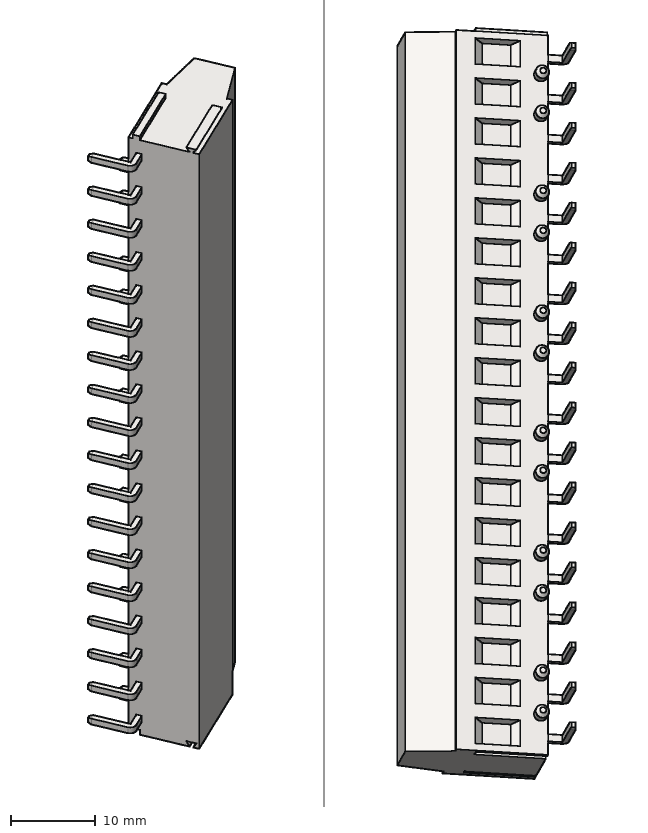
import cadquery as cq

pole_count = 18
pole_pitch = 5.0
housing_height = pole_count * pole_pitch
total_height = 90.6
housing_width = 9.0
housing_depth = 16.8
shoulder_y = 11.05
ridge_base_left = 0.6
ridge_base_right = 8.2
ridge_top_left = 1.9
ridge_top_right = 7.1

rib_height = total_height - housing_height
rib_length = 8.6
slot_depth = 0.7
square_rib_left = 0.5
square_rib_width = 0.9
dovetail_center = 8.0
dovetail_wide = 1.3
dovetail_narrow = 0.45

funnel_y_low = 3.35
funnel_y_high = 8.8
funnel_height = 3.3
funnel_depth = 0.9
funnel_inset_y = 1.0
funnel_inset_z = 0.32

pin_width = 0.9
pin_thickness = 0.7
pin_reach = 4.2
pin_drop = 2.6
pin_outer_x = 1.7
pin_bend_radius = 0.8
pin_root = 0.45
pin_tip_length = 0.45
pin_tip_inset = 0.14

poles_per_group = 3
peg_radius = 0.8
peg_length = 1.6
peg_center_y = 0.9
peg_chamfer = 0.45
peg_root = 0.45


def pole_z(index):
    """Height of the centre of a pole."""
    return (index + 0.5) * pole_pitch


def make_housing():
    outline = [
        (0, 0),
        (housing_width, 0),
        (housing_width, shoulder_y),
        (ridge_base_right, shoulder_y),
        (ridge_top_right, housing_depth),
        (ridge_top_left, housing_depth),
        (ridge_base_left, shoulder_y),
        (0, shoulder_y),
    ]
    return cq.Workplane("XY").polyline(outline).close().extrude(housing_height)


def make_interlocks(base_z, height):
    """Square rib and dovetail rib running along Y, standing on base_z."""
    square = cq.Workplane("XY").box(square_rib_width, rib_length, height, centered=False)
    square = square.translate((square_rib_left, 0, base_z))
    section = [
        (dovetail_center - dovetail_narrow / 2, base_z),
        (dovetail_center + dovetail_narrow / 2, base_z),
        (dovetail_center + dovetail_wide / 2, base_z + height),
        (dovetail_center - dovetail_wide / 2, base_z + height),
    ]
    dovetail = cq.Workplane("XZ").polyline(section).close().extrude(-rib_length)
    return square.union(dovetail)


def make_funnel():
    """Tapered wire entry centred on Z = 0, narrowing towards +X."""
    mouth_length = funnel_y_high - funnel_y_low
    center_y = (funnel_y_low + funnel_y_high) / 2
    return (
        cq.Workplane("YZ")
        .center(center_y, 0)
        .rect(mouth_length, funnel_height)
        .workplane(offset=funnel_depth)
        .rect(mouth_length - 2 * funnel_inset_y, funnel_height - 2 * funnel_inset_z)
        .loft(ruled=True)
    )


def make_pin():
    """L-shaped flat pin centred on Z = 0 with a tapered tip pointing to -X."""
    shank_start = pin_tip_length - pin_reach
    leg_x = pin_outer_x - pin_thickness
    outline = [
        (shank_start, -pin_drop),
        (pin_outer_x, -pin_drop),
        (pin_outer_x, pin_root),
        (leg_x, pin_root),
        (leg_x, pin_thickness - pin_drop),
        (shank_start, pin_thickness - pin_drop),
    ]
    body = cq.Workplane("XY").polyline(outline).close().extrude(pin_width / 2, both=True)
    outer_corner = cq.selectors.NearestToPointSelector((pin_outer_x, -pin_drop, 0))
    body = body.edges("|Z").edges(outer_corner).fillet(pin_bend_radius)
    tip = (
        cq.Workplane("YZ", origin=(shank_start, pin_thickness / 2 - pin_drop, 0))
        .rect(pin_thickness, pin_width)
        .workplane(offset=-pin_tip_length)
        .rect(pin_thickness - 2 * pin_tip_inset, pin_width - 2 * pin_tip_inset)
        .loft(ruled=True)
    )
    return body.union(tip)


def make_peg():
    """Round peg centred on Z = 0, pointing to -X with a chamfered end."""
    peg = cq.Workplane("YZ", origin=(peg_root, peg_center_y, 0)).circle(peg_radius)
    return peg.extrude(-peg_root - peg_length).faces("<X").chamfer(peg_chamfer)


result = make_housing()
result = result.union(make_interlocks(housing_height, rib_height))
result = result.cut(make_interlocks(0, slot_depth))

funnel = make_funnel()
pin = make_pin()
peg = make_peg()
for pole in range(pole_count):
    result = result.cut(funnel.translate((0, 0, pole_z(pole))))
    result = result.union(pin.translate((0, 0, pole_z(pole))))
    last_in_group = pole % poles_per_group == poles_per_group - 1
    if not last_in_group:
        result = result.union(peg.translate((0, 0, pole_z(pole + 0.5))))